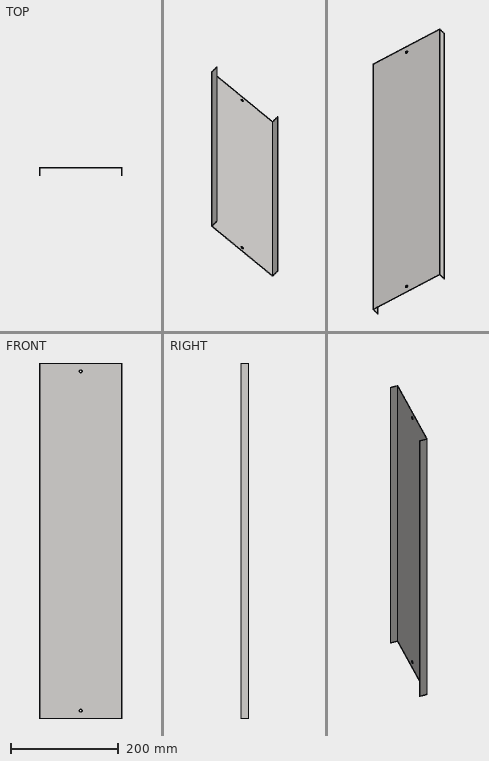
import cadquery as cq

width = 153.0
depth = 14.5
height = 660.0
sheet_thickness = 0.5

hole_diameter = 5.0
hole_spacing = 630.0


def channel():
    """Thin web on the +Y side with a flange folded toward -Y along each long edge."""
    outer = cq.Workplane("XY").box(width, depth, height)
    cavity = (
        cq.Workplane("XY")
        .box(width - 2 * sheet_thickness, depth, height)
        .translate((0, -sheet_thickness, 0))
    )
    return outer.cut(cavity)


def mounting_holes():
    """Cutters for the round holes, passing through the web."""
    return (
        cq.Workplane("XZ")
        .pushPoints([(0, -hole_spacing / 2), (0, hole_spacing / 2)])
        .circle(hole_diameter / 2)
        .extrude(depth, both=True)
    )


result = channel().cut(mounting_holes())